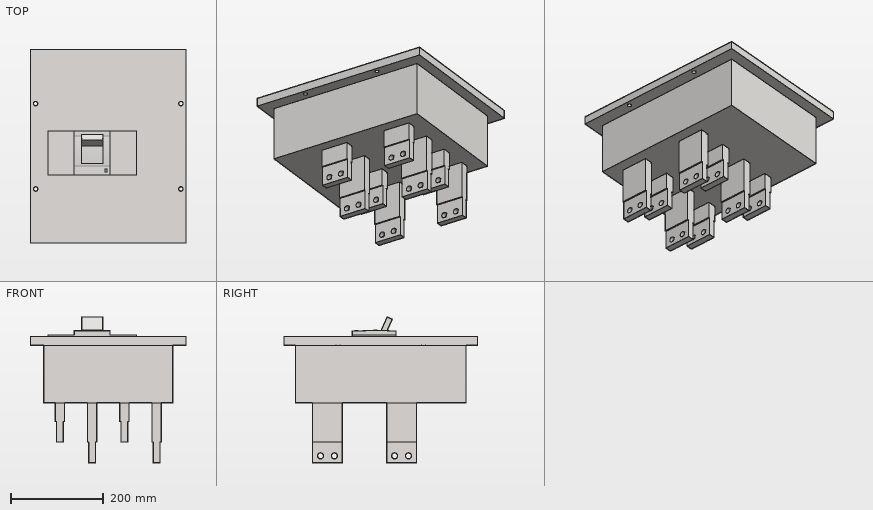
import cadquery as cq
import math

PLATE_X = 338.0
PLATE_Y = 420.0
PLATE_THICKNESS = 19.5
MOUNT_HOLE_DIAMETER = 9.0
MOUNT_HOLE_SPACING_X = 315.0
MOUNT_HOLE_SPACING_Y = 185.0

HOUSING_X = 280.0
HOUSING_Y = 370.0
HOUSING_BOTTOM_Z = -144.0

ESCUTCHEON_CENTER_X = -34.7
ESCUTCHEON_CENTER_Y = -14.5
ESCUTCHEON_Y = 95.5
SHEET_X = 192.0
SHEET_HEIGHT = 3.4
BASE_X = 78.0
BASE_HEIGHT = 12.0

DOME_CENTER_Y = -10.3
DOME_LENGTH = 64.5
DOME_RISE = 1.2
GUIDE_LENGTH = 54.5
GUIDE_RISE = 0.2

PAD_X = 5.0
PAD_Y = 7.0
PAD_RISE = 0.5
PAD_CENTER_X = -4.8
PAD_CENTER_Y = -52.4

LEVER_WIDTH = 46.0
LEVER_THICKNESS = 12.4
LEVER_TILT = 24.0
LEVER_TIP_Y = 13.8
LEVER_TIP_Z = 42.4

BAR_ROWS_Y = (45.0, -115.5)
BAR_PITCH_X = 70.0
BAR_COUNT = 4
BAR_WIDTH = 65.0
BAR_THICKNESS = 15.0
SLEEVE_THICKNESS = 20.5
SHORT_SLEEVE_LENGTH = 40.5
BAR_EXPOSED_LENGTH = 44.7
BAR_HOLE_DIAMETER = 12.5
BAR_HOLE_SPACING = 30.0
BAR_HOLE_END_DISTANCE = 15.0


def block(size_x, size_y, bottom_z, top_z, center_x=0.0, center_y=0.0):
    """Upright rectangular block between two heights."""
    return (
        cq.Workplane("XY", origin=(center_x, center_y, bottom_z))
        .rect(size_x, size_y)
        .extrude(top_z - bottom_z)
    )


def make_plate():
    plate = block(PLATE_X, PLATE_Y, -PLATE_THICKNESS, 0)
    return (
        plate.faces(">Z")
        .workplane()
        .rect(MOUNT_HOLE_SPACING_X, MOUNT_HOLE_SPACING_Y, forConstruction=True)
        .vertices()
        .hole(MOUNT_HOLE_DIAMETER)
    )


def make_housing():
    return block(HOUSING_X, HOUSING_Y, HOUSING_BOTTOM_Z, -PLATE_THICKNESS)


def make_domed_band(width, length, rise):
    """Band across the escutcheon under an arc concentric with the dome, raised above it by `rise`."""
    half_chord = DOME_LENGTH / 2
    dome_radius = (half_chord**2 + DOME_RISE**2) / (2 * DOME_RISE)
    radius = dome_radius + rise
    axis_z = BASE_HEIGHT + DOME_RISE - dome_radius
    half_length = length / 2
    end_z = axis_z + math.sqrt(radius**2 - half_length**2)
    start_x = ESCUTCHEON_CENTER_X - width / 2
    return (
        cq.Workplane("YZ", origin=(start_x, DOME_CENTER_Y, 0))
        .moveTo(-half_length, 0)
        .lineTo(-half_length, end_z)
        .threePointArc((0, axis_z + radius), (half_length, end_z))
        .lineTo(half_length, 0)
        .close()
        .extrude(width)
    )


def make_escutcheon():
    center = (ESCUTCHEON_CENTER_X, ESCUTCHEON_CENTER_Y)
    sheet = block(SHEET_X, ESCUTCHEON_Y, 0, SHEET_HEIGHT, *center)
    base = block(BASE_X, ESCUTCHEON_Y, 0, BASE_HEIGHT, *center)
    pad = block(PAD_X, PAD_Y, 0, BASE_HEIGHT + PAD_RISE, PAD_CENTER_X, PAD_CENTER_Y)
    band = make_domed_band(BASE_X, DOME_LENGTH, 0)
    guide = make_domed_band(LEVER_WIDTH, GUIDE_LENGTH, GUIDE_RISE)
    return sheet.union(base).union(pad).union(band).union(guide)


def make_lever():
    """Tilted flat lever whose front top corner is its highest edge, rooted inside the base and plate."""
    tilt = math.radians(LEVER_TILT)
    length = (LEVER_TIP_Z - SHEET_HEIGHT) / math.cos(tilt)
    return (
        cq.Workplane("YZ", origin=(ESCUTCHEON_CENTER_X, LEVER_TIP_Y, LEVER_TIP_Z))
        .transformed(rotate=(0, 0, -LEVER_TILT))
        .rect(LEVER_THICKNESS, -length, centered=False)
        .extrude(LEVER_WIDTH / 2, both=True)
    )


def make_terminal(center_x, center_y, sleeve_length):
    """Sleeve below the housing with a thinner drilled bar standing out of its end."""
    sleeve_end_z = HOUSING_BOTTOM_Z - sleeve_length
    bar_end_z = sleeve_end_z - BAR_EXPOSED_LENGTH
    sleeve = block(SLEEVE_THICKNESS, BAR_WIDTH, sleeve_end_z, HOUSING_BOTTOM_Z, center_x, center_y)
    bar = block(BAR_THICKNESS, BAR_WIDTH, bar_end_z, sleeve_end_z, center_x, center_y)
    holes = (
        cq.Workplane("YZ", origin=(center_x, center_y, bar_end_z + BAR_HOLE_END_DISTANCE))
        .pushPoints([(-BAR_HOLE_SPACING / 2, 0), (BAR_HOLE_SPACING / 2, 0)])
        .circle(BAR_HOLE_DIAMETER / 2)
        .extrude(BAR_THICKNESS, both=True)
    )
    return sleeve.union(bar.cut(holes))


def make_terminals():
    """Two rows of terminals, each starting with a short one at -X."""
    terminals = cq.Workplane("XY")
    for row_y in BAR_ROWS_Y:
        for index in range(BAR_COUNT):
            bar_x = (index - (BAR_COUNT - 1) / 2) * BAR_PITCH_X
            is_long = index % 2 == 1
            sleeve_length = SHORT_SLEEVE_LENGTH + (BAR_EXPOSED_LENGTH if is_long else 0)
            terminals = terminals.add(make_terminal(bar_x, row_y, sleeve_length))
    return terminals


result = (
    make_plate()
    .union(make_housing())
    .union(make_escutcheon())
    .union(make_lever())
    .union(make_terminals())
)